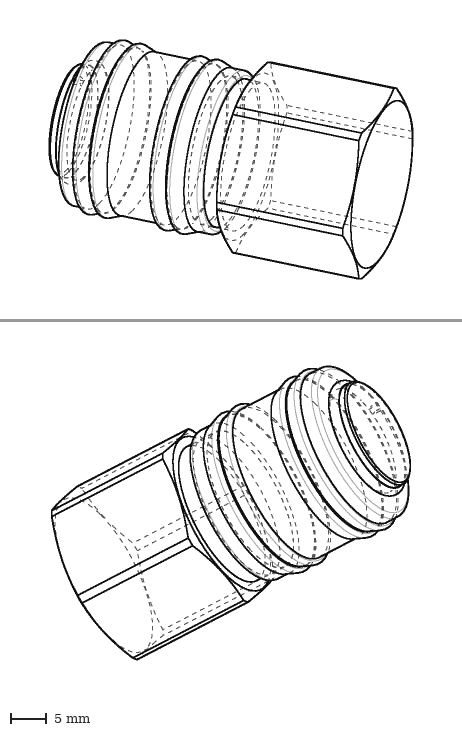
import cadquery as cq
import math

total_length = 46.6
collar_start = 2.75
collar_end = 24.15
nut_start = 26.6

nose_diameter = 15.95
nose_chamfer = 0.3
collar_diameter = 23.3
collar_edge_radius = 0.6
neck_diameter = 21.0
collar_bore_diameter = 21.1
collar_bore_depth = 2.35

ring_wire_diameter = 1.6
ring_center_diameter = 16.05
ring_seat_diameter = 16.1
ring_gap_width = 1.0
ring_gap_angle = 14.0

rib_crest_diameter = 24.8
rib_tip_radius = 0.45
rib_root_depth = 0.45
rib_length = 2.5
rib_pitch = 2.45
front_rib_land = 0.25
first_pair_start = 5.15
pair_spacing = 11.45

nut_across_flats = 24.0
nut_corner_diameter = 27.05
nut_face_diameter = 23.75
nut_chamfer_angle = 20.0


def cylinder_x(diameter, start, end):
    """Cylinder around the X axis between two positions."""
    disc = cq.Workplane("YZ").workplane(offset=start).circle(diameter / 2)
    return disc.extrude(end - start)


def make_nose():
    """Chamfered nose with the slightly larger seat of the snap ring behind it."""
    nose = cylinder_x(nose_diameter, 0, collar_start)
    ring_seat = cylinder_x(ring_seat_diameter, collar_start - ring_wire_diameter, collar_start)
    return nose.faces("<X").chamfer(nose_chamfer).union(ring_seat)


def make_collar():
    """Sleeve with rounded ends, bored at the rear to clear the neck."""
    collar = cylinder_x(collar_diameter, collar_start, collar_end)
    collar = collar.faces("<X or >X").edges().fillet(collar_edge_radius)
    return collar.cut(cylinder_x(collar_bore_diameter, collar_end - collar_bore_depth, collar_end))


def make_snap_ring():
    """Round-wire ring, split by a narrow radial gap near the top."""
    ring_x = collar_start - ring_wire_diameter / 2
    ring = (
        cq.Workplane("XY")
        .moveTo(ring_x, ring_center_diameter / 2)
        .circle(ring_wire_diameter / 2)
        .revolve(360, (0, 0), (1, 0))
    )
    gap = (
        cq.Workplane("XY")
        .center(ring_x, 0)
        .rect(ring_wire_diameter, ring_gap_width)
        .extrude(ring_center_diameter)
        .rotate((0, 0, 0), (1, 0, 0), ring_gap_angle)
    )
    return ring.cut(gap)


def make_rib(wall_x, land):
    """Ring with an upright front wall, a rounded tip and a rear slope that may end in a flat land."""
    base_radius = collar_diameter / 2
    root_radius = base_radius - rib_root_depth
    tip_center_x = wall_x + rib_tip_radius
    tip_center_radius = rib_crest_diameter / 2 - rib_tip_radius
    rib_end = wall_x + rib_length

    run = rib_end - tip_center_x
    rise = tip_center_radius - base_radius
    tangent_angle = math.atan2(rise, run) + math.asin(rib_tip_radius / math.hypot(run, rise))
    tangent_x = tip_center_x + rib_tip_radius * math.sin(tangent_angle)
    tangent_radius = tip_center_radius + rib_tip_radius * math.cos(tangent_angle)

    slope_end = rib_end - land
    slope_end_radius = base_radius + land * math.tan(tangent_angle)
    profile = (
        cq.Workplane("XY")
        .moveTo(wall_x, root_radius)
        .lineTo(wall_x, tip_center_radius)
        .threePointArc((tip_center_x, rib_crest_diameter / 2), (tangent_x, tangent_radius))
        .lineTo(slope_end, slope_end_radius)
    )
    if land > 0:
        profile = profile.lineTo(rib_end, slope_end_radius)
    return profile.lineTo(rib_end, root_radius).close().revolve(360, (0, 0), (1, 0))


def make_nut():
    """Hexagon with flats facing +Z and -Z, rounded corners and conical ends."""
    length = total_length - nut_start
    corner_to_corner = nut_across_flats / math.cos(math.radians(30))
    hexagon = cq.Workplane("YZ").workplane(offset=nut_start).polygon(6, corner_to_corner).extrude(length)

    chamfer_height = (nut_corner_diameter - nut_face_diameter) / 2
    chamfer_length = chamfer_height * math.tan(math.radians(nut_chamfer_angle))
    envelope = (
        cq.Workplane("XY")
        .moveTo(nut_start, 0)
        .lineTo(nut_start, nut_face_diameter / 2)
        .lineTo(nut_start + chamfer_length, nut_corner_diameter / 2)
        .lineTo(total_length - chamfer_length, nut_corner_diameter / 2)
        .lineTo(total_length, nut_face_diameter / 2)
        .lineTo(total_length, 0)
        .close()
        .revolve(360, (0, 0), (1, 0))
    )
    return hexagon.intersect(envelope)


result = make_collar().union(make_nose()).union(make_snap_ring())
for pair_start in (first_pair_start, first_pair_start + pair_spacing):
    result = result.union(make_rib(pair_start, front_rib_land))
    result = result.union(make_rib(pair_start + rib_pitch, 0))
neck = cylinder_x(neck_diameter, collar_end - collar_bore_depth, nut_start)
result = result.union(neck).union(make_nut())